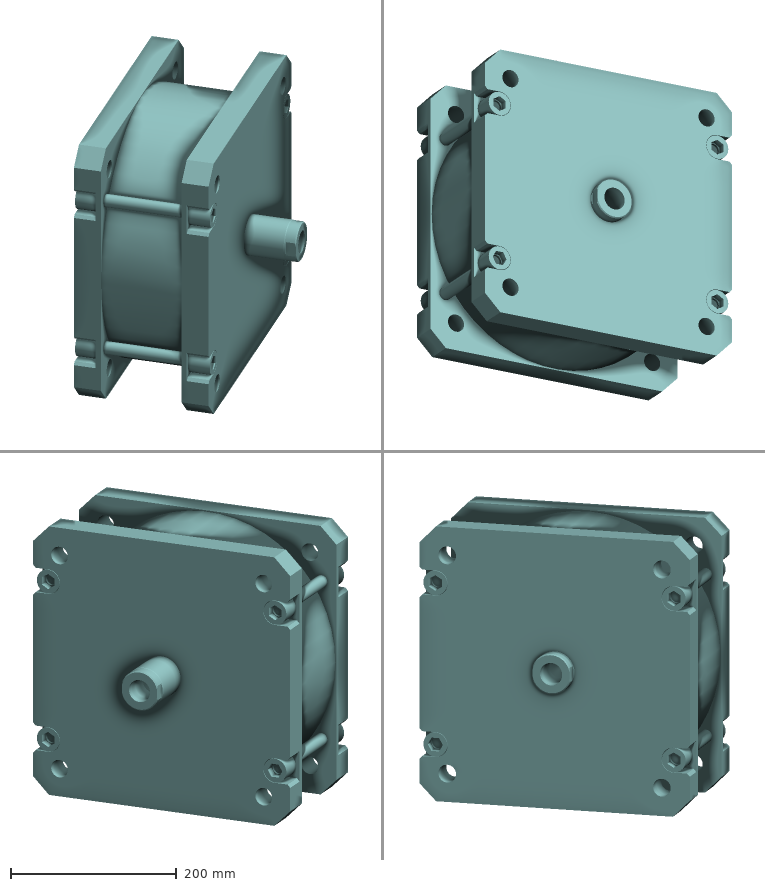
import cadquery as cq
import math

plate_side = 340.0
plate_thickness = 34.0
drum_length = 102.0
drum_diameter = 337.0
face_x = drum_length / 2 + plate_thickness

corner_chamfer = 21.0
mount_hole_diameter = 22.0
mount_hole_offset = 135.0

slot_width = 31.0
slot_depth = 27.5
slot_mouth_flare = 3.7
slot_mouth_length = 3.5

rod_y = 150.0
rod_z = 100.0
rod_diameter = 16.0
head_diameter = 30.0
socket_sides = 6
socket_across_corners = 19.0
socket_depth = 10.2
pilot_diameter = 15.0
pilot_depth = 13.5

shaft_diameter = 50.3
shaft_end_diameter = 49.5
shoulder_length = 1.0
shaft_end_length = 15.0
shaft_start_x = -face_x - shaft_end_length
shaft_reach = 65.0
shaft_end_x = face_x + shaft_reach
shaft_end_chamfer = 1.5
flat_length = 12.5
across_flats = 46.2
bore_diameter = 28.0
bore_depth = 40.8
bore_point_angle = 118.0

ROD_POINTS = [(y, z) for y in (-rod_y, rod_y) for z in (-rod_z, rod_z)]
TURNED_ROD = (rod_y, -rod_z)


def section_plane(x):
    """Plane across the axis at X = x: local x is Y, local y is Z, normal is +X."""
    return cq.Workplane("YZ", origin=(x, 0, 0))


def cylinder(diameter, start_x, end_x):
    """Cylinder on the machine axis."""
    return section_plane(start_x).circle(diameter / 2).extrude(end_x - start_x)


def head_slot(y, z):
    """Cutter for one head slot in the -X plate: round inner end, flared mouth at the edge."""
    outward = 1 if y > 0 else -1
    edge_y = outward * plate_side / 2
    half_width = slot_width / 2
    half_mouth = half_width + slot_mouth_flare
    throat_y = edge_y - outward * slot_mouth_length
    return (
        section_plane(-face_x)
        .moveTo(edge_y, z - half_mouth)
        .lineTo(throat_y, z - half_width)
        .lineTo(y, z - half_width)
        .threePointArc((y - outward * half_width, z), (y, z + half_width))
        .lineTo(throat_y, z + half_width)
        .lineTo(edge_y, z + half_mouth)
        .close()
        .extrude(slot_depth)
    )


def make_left_plate():
    """End plate on the -X side, with its head slots in the outer face."""
    plate = (
        section_plane(-face_x)
        .rect(plate_side, plate_side)
        .extrude(plate_thickness)
        .edges("|X")
        .chamfer(corner_chamfer)
    )
    mount_holes = (
        section_plane(-face_x)
        .rect(2 * mount_hole_offset, 2 * mount_hole_offset, forConstruction=True)
        .vertices()
        .circle(mount_hole_diameter / 2)
        .extrude(plate_thickness)
    )
    rod_holes = (
        section_plane(-face_x).pushPoints(ROD_POINTS).circle(rod_diameter / 2).extrude(plate_thickness)
    )
    shaft_hole = cylinder(shaft_diameter, -face_x, -face_x + plate_thickness)
    plate = plate.cut(mount_holes).cut(rod_holes).cut(shaft_hole)
    for y, z in ROD_POINTS:
        plate = plate.cut(head_slot(y, z))
    return plate


def make_drum():
    """Round body clamped between the plates, bored for the shaft."""
    drum = cylinder(drum_diameter, -drum_length / 2, drum_length / 2)
    return drum.cut(cylinder(shaft_diameter, -drum_length / 2, drum_length / 2))


def make_tie_rod(y, z, corner_angle):
    """Tie rod with a round head at each end, flush with the plates; each head has a hex socket."""
    rod = section_plane(-face_x).center(y, z).circle(rod_diameter / 2).extrude(2 * face_x)
    head = section_plane(-face_x).center(y, z).circle(head_diameter / 2).extrude(slot_depth)
    socket = (
        section_plane(-face_x)
        .center(y, z)
        .transformed(rotate=(0, 0, corner_angle))
        .polygon(socket_sides, socket_across_corners)
        .extrude(socket_depth)
    )
    pilot = section_plane(-face_x).center(y, z).circle(pilot_diameter / 2).extrude(pilot_depth)
    recess = socket.union(pilot)
    rod = rod.union(head).union(head.mirror("YZ"))
    return rod.cut(recess).cut(recess.mirror("YZ"))


def shaft_bore():
    """Cutter for the blind bore in the -X end, with a drill point."""
    radius = bore_diameter / 2
    point_length = radius / math.tan(math.radians(bore_point_angle / 2))
    return (
        cq.Workplane("XY")
        .moveTo(shaft_start_x, 0)
        .lineTo(shaft_start_x, radius)
        .lineTo(shaft_start_x + bore_depth, radius)
        .lineTo(shaft_start_x + bore_depth + point_length, 0)
        .close()
        .revolve(360, (0, 0, 0), (1, 0, 0))
    )


def end_flats():
    """Cutters that leave two flats, facing +Y and -Y, on each end of the shaft."""
    flat_x = (shaft_start_x + flat_length / 2, shaft_end_x - flat_length / 2)
    cutter_y = across_flats / 2 + shaft_diameter / 2
    points = [(x, y, 0) for x in flat_x for y in (-cutter_y, cutter_y)]
    return cq.Workplane("XY").pushPoints(points).box(flat_length, shaft_diameter, shaft_diameter)


def shaft_blank():
    """Turned shaft: slightly thinner chamfered ends, each with a conical shoulder."""
    radius = shaft_diameter / 2
    end_radius = shaft_end_diameter / 2
    tip_radius = end_radius - shaft_end_chamfer
    neck_length = shaft_end_length - shoulder_length
    return (
        cq.Workplane("XY")
        .moveTo(shaft_start_x, 0)
        .lineTo(shaft_start_x, tip_radius)
        .lineTo(shaft_start_x + shaft_end_chamfer, end_radius)
        .lineTo(shaft_start_x + neck_length, end_radius)
        .lineTo(shaft_start_x + shaft_end_length, radius)
        .lineTo(shaft_end_x - shaft_end_length, radius)
        .lineTo(shaft_end_x - neck_length, end_radius)
        .lineTo(shaft_end_x - shaft_end_chamfer, end_radius)
        .lineTo(shaft_end_x, tip_radius)
        .lineTo(shaft_end_x, 0)
        .close()
        .revolve(360, (0, 0, 0), (1, 0, 0))
    )


def make_shaft():
    """Through shaft with flatted and bored ends."""
    bore = shaft_bore()
    middle_x = (shaft_start_x + shaft_end_x) / 2
    opposite_bore = bore.mirror("YZ", (middle_x, 0, 0))
    return shaft_blank().cut(end_flats()).cut(bore).cut(opposite_bore)


left_plate = make_left_plate()
right_plate = left_plate.mirror("YZ")
drum = make_drum()
shaft = make_shaft()
tie_rods = [
    make_tie_rod(y, z, corner_angle=0 if (y, z) == TURNED_ROD else 90)
    for y, z in ROD_POINTS
]

result = cq.Compound.makeCompound(
    [left_plate.val(), right_plate.val(), drum.val(), shaft.val(), *[rod.val() for rod in tie_rods]]
)